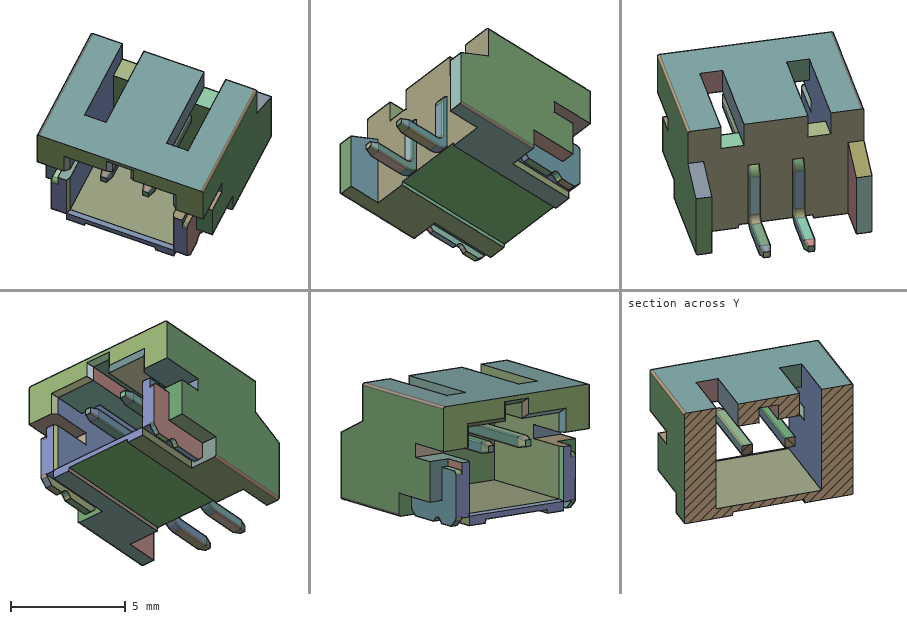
import cadquery as cq
import math


width = 7.9
height = 5.5
half_width = width / 2
body_depth = 6.0
ear_depth = 7.6
ear_inner_x = 3.24
ear_rear_height = 3.01
ear_slope_top = 3.8
edge_radius = 0.1

cavity_half_width = 2.46
cavity_floor = 0.5
cavity_roof = 4.38
cavity_depth = 5.005
key_half_width = 0.44
key_roof = 5.1
upper_bevel = 0.21
bevel_depth = 0.21
wall_bevel = 0.095
floor_bevel = 0.07

slot_bottom = 2.87
slot_top = 3.5
slot_depth = 2.1
side_wall_x = 2.96
side_cut_depth = 1.02
foot_cut_depth = 3.3
foot_cut_height = 1.05
wall_relief_height = 0.395

groove_inner_x = 1.44
groove_outer_x = 2.46
groove_front_y = 1.81
channel_half_width = 1.65
channel_height = 0.17
channel_flare = 0.04

left_tab_thickness = 0.33
right_tab_thickness = 0.23
tab_height = 2.54
tab_top_radius = 0.19
tab_front_chamfer = 0.36
tab_rear_chamfer = 0.29
tab_corner_radius = 0.2
notch_y = 1.36
notch_half_width = 0.29
notch_height = 0.24
notch_arc_half_width = 0.17
notch_arc_start = 0.14

pin_pitch = 1.995
pin_size = 0.5
pin_edge_radius = 0.05
pin_tip_size = 0.3
pin_height = 3.15
contact_tip_y = 0.5
contact_taper = 0.42
leg_y = 6.01
upper_bend_radius = 0.35
lower_bend_radius = 0.55
tail_height = pin_size / 2
tail_tip_y = 8.6
tail_taper = 0.38


def box(x_range, y_range, z_range):
    """Box spanning the given (low, high) ranges."""
    size = [high - low for low, high in (x_range, y_range, z_range)]
    corner = (x_range[0], y_range[0], z_range[0])
    return cq.Workplane("XY").box(*size, centered=False).translate(corner)


def both_sides(shape):
    """The shape together with its mirror image across the YZ plane."""
    return shape.union(shape.mirror("YZ"))


def xz_plane(y):
    """Plane at depth y with local x = X, local y = Z; a negative extrusion runs toward +Y."""
    return cq.Workplane("XZ", origin=(0, y, 0))


def body_block():
    profile = [
        (0, 0),
        (ear_depth, 0),
        (ear_depth, ear_rear_height),
        (body_depth, ear_slope_top),
        (body_depth, height),
        (0, height),
    ]
    block = cq.Workplane("YZ").polyline(profile).close().extrude(half_width, both=True)
    block = block.edges("|Y and (<X or >X)").edges("<Z or >Z").fillet(edge_radius)
    ear_gap = box((-ear_inner_x, ear_inner_x), (body_depth, ear_depth), (0, height))
    return block.cut(ear_gap)


def cavity_outline(bottom, offset):
    """Cavity section with a keyway in its roof, grown outward by offset above the bottom line."""
    side = cavity_half_width + offset
    key_side = key_half_width + offset
    return [
        (-side, bottom),
        (side, bottom),
        (side, cavity_roof + offset),
        (key_side, cavity_roof + offset),
        (key_side, key_roof + offset),
        (-key_side, key_roof + offset),
        (-key_side, cavity_roof + offset),
        (-side, cavity_roof + offset),
    ]


def lofted(front_points, rear_points, depth):
    """Solid between an outline at y = 0 and a matching outline at y = depth."""
    front = cq.Wire.makePolygon([cq.Vector(x, 0, z) for x, z in front_points], close=True)
    rear = cq.Wire.makePolygon([cq.Vector(x, depth, z) for x, z in rear_points], close=True)
    return cq.Workplane(obj=cq.Solid.makeLoft([front, rear], True))


def cavity():
    room = xz_plane(0).polyline(cavity_outline(cavity_floor, 0)).close().extrude(-cavity_depth)
    upper_lead_in = lofted(
        cavity_outline(slot_top, upper_bevel),
        cavity_outline(slot_top, 0),
        bevel_depth,
    )
    front_side = cavity_half_width + wall_bevel
    front_floor = cavity_floor - floor_bevel
    lower_lead_in = lofted(
        [(-front_side, front_floor), (front_side, front_floor),
         (front_side, slot_bottom), (-front_side, slot_bottom)],
        [(-cavity_half_width, cavity_floor), (cavity_half_width, cavity_floor),
         (cavity_half_width, slot_bottom), (-cavity_half_width, slot_bottom)],
        bevel_depth,
    )
    return room.union(upper_lead_in).union(lower_lead_in)


def side_slots():
    return box((-half_width, half_width), (0, slot_depth), (slot_bottom, slot_top))


def side_cuts():
    outer = (side_wall_x, half_width)
    tall_cut = box(outer, (0, side_cut_depth), (0, slot_bottom))
    foot_cut = box(outer, (0, foot_cut_depth), (0, foot_cut_height))
    relief_x = (cavity_half_width + wall_bevel, side_wall_x)
    wall_relief = box(relief_x, (0, foot_cut_depth), (0, wall_relief_height))
    return both_sides(tall_cut.union(foot_cut).union(wall_relief))


def top_grooves():
    return both_sides(
        box((groove_inner_x, groove_outer_x), (groove_front_y, body_depth), (cavity_roof, height))
    )


def underside_channel():
    foot = channel_half_width + channel_flare
    profile = [
        (-foot, 0),
        (foot, 0),
        (channel_half_width, channel_height),
        (-channel_half_width, channel_height),
    ]
    return xz_plane(0).polyline(profile).close().extrude(-body_depth)


def tab(inner_x, thickness):
    """L-shaped side plate, with its low X face at inner_x."""
    plate = (
        cq.Workplane("YZ")
        .moveTo(tab_front_chamfer, 0)
        .lineTo(notch_y - notch_half_width, 0)
        .lineTo(notch_y - notch_arc_half_width, notch_arc_start)
        .threePointArc((notch_y, notch_height), (notch_y + notch_arc_half_width, notch_arc_start))
        .lineTo(notch_y + notch_half_width, 0)
        .lineTo(foot_cut_depth - tab_rear_chamfer, 0)
        .lineTo(foot_cut_depth, tab_rear_chamfer)
        .lineTo(foot_cut_depth, foot_cut_height)
        .lineTo(side_cut_depth, foot_cut_height)
        .lineTo(side_cut_depth, tab_height)
        .lineTo(0, tab_height)
        .lineTo(0, tab_front_chamfer)
        .close()
        .extrude(thickness)
    )
    plate = plate.edges("|X and <Y").edges(">Z").fillet(tab_top_radius)
    plate = plate.edges("|X and <Y").edges("<Z").fillet(tab_corner_radius)
    return plate.translate((inner_x, 0, 0))


def pin_section(y, z, size):
    """Square wire with rounded corners, facing along Y and centred at (0, y, z)."""
    half = size / 2
    corners = [(-half, -half), (half, -half), (half, half), (-half, half)]
    square = cq.Wire.makePolygon([cq.Vector(px, y, z + pz) for px, pz in corners], close=True)
    return square.fillet2D(pin_edge_radius, square.Vertices())


def pin(x):
    """Square pin: contact, vertical leg and solder tail, tapered at both ends."""
    contact_y = contact_tip_y + contact_taper
    tail_y = tail_tip_y - tail_taper
    upper_centre = (leg_y - upper_bend_radius, pin_height - upper_bend_radius)
    lower_centre = (leg_y + lower_bend_radius, tail_height + lower_bend_radius)
    diagonal = math.sqrt(0.5)
    path = (
        cq.Workplane("YZ")
        .moveTo(contact_y, pin_height)
        .lineTo(upper_centre[0], pin_height)
        .threePointArc(
            (upper_centre[0] + upper_bend_radius * diagonal,
             upper_centre[1] + upper_bend_radius * diagonal),
            (leg_y, upper_centre[1]),
        )
        .lineTo(leg_y, lower_centre[1])
        .threePointArc(
            (lower_centre[0] - lower_bend_radius * diagonal,
             lower_centre[1] - lower_bend_radius * diagonal),
            (lower_centre[0], tail_height),
        )
        .lineTo(tail_y, tail_height)
    )
    contact_section = pin_section(contact_y, pin_height, pin_size)
    contact_tip = pin_section(contact_tip_y, pin_height, pin_tip_size)
    tail_section = pin_section(tail_y, tail_height, pin_size)
    tail_tip = pin_section(tail_tip_y, tail_height, pin_tip_size)
    bar = cq.Workplane(obj=cq.Solid.sweep(contact_section, [], path.wire().val()))
    contact_point = cq.Workplane(obj=cq.Solid.makeLoft([contact_tip, contact_section], True))
    tail_point = cq.Workplane(obj=cq.Solid.makeLoft([tail_section, tail_tip], True))
    return bar.union(contact_point).union(tail_point).translate((x, 0, 0))


pins = [pin(x) for x in (-pin_pitch / 2, pin_pitch / 2)]

housing = body_block()
for cutter in (cavity(), side_slots(), side_cuts(), top_grooves(), underside_channel()):
    housing = housing.cut(cutter)
housing = housing.union(tab(-side_wall_x - left_tab_thickness, left_tab_thickness))
housing = housing.union(tab(side_wall_x, right_tab_thickness))
for pin_body in pins:
    housing = housing.cut(pin_body)

result = cq.Compound.makeCompound(
    [housing.solids().val(), *[pin_body.solids().val() for pin_body in pins]]
)